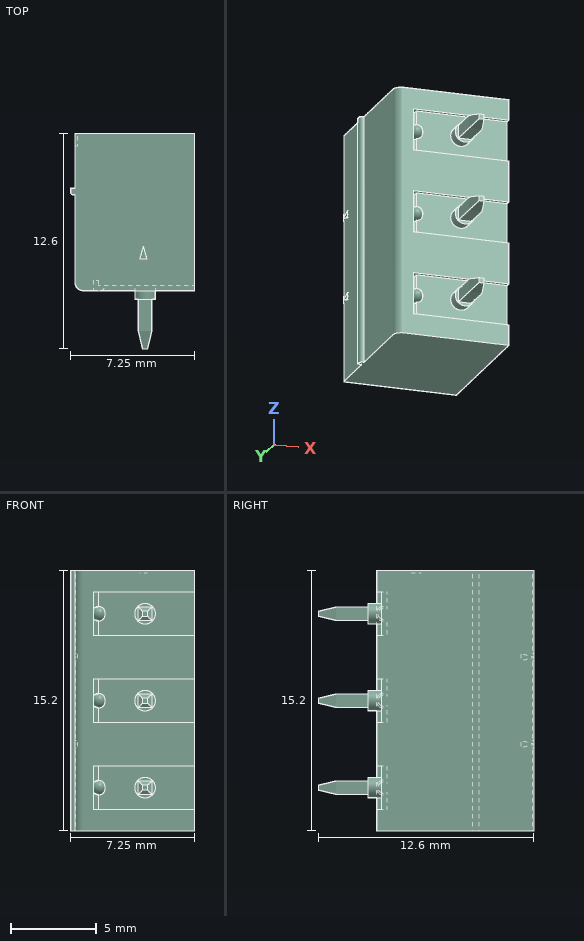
import cadquery as cq

POLES = 3
PITCH = 5.08
POLE_HEIGHTS = [(i - (POLES - 1) / 2) * PITCH for i in range(POLES)]

BODY_WIDTH = 7.0
BODY_DEPTH = 9.2
BODY_HEIGHT = POLES * PITCH
BODY_LEFT = -4.1
BODY_RIGHT = BODY_LEFT + BODY_WIDTH
PIN_SIDE_RADIUS = 0.5
BACK_CHAMFER_WIDTH = 0.05
BACK_CHAMFER_LENGTH = 0.1

RIB_HEIGHT = 0.25
RIB_WIDTH = 0.4
RIB_BACK = BODY_DEPTH - 3.2
RIB_FRONT = RIB_BACK - RIB_WIDTH
RIB_RADIUS = 0.17

POCKET_HEIGHT = 2.54
POCKET_DEPTH = 0.3
POCKET_LEFT = BODY_LEFT + 1.1
GROOVE_WIDTH = 0.28
GROOVE_DEPTH = 2 * POCKET_DEPTH

BUMP_AXIS_DEPTH = 0.42
BUMP_BASE_RADIUS = 0.33
BUMP_SHOULDER_RADIUS = 0.41
BUMP_CREST_RADIUS = 0.44
BUMP_SHOULDER = 0.16
BUMP_CREST = 0.28
BUMP_LENGTH = 0.65

COLLAR_DIAMETER = 1.2
COLLAR_PROJECTION = 0.5
PIN_SIZE = 0.8
PIN_LENGTH = 3.4
TIP_SIZE = 0.3
TIP_LENGTH = 1.05

MARK_LENGTH = 0.75
MARK_WIDTH = 0.42
MARK_DEPTH = 0.15
TOP_MARK_X = -0.1
TOP_MARK_BASE_Y = 1.85
SIDE_MARK_HEIGHTS = [(i - POLES / 2) * PITCH for i in range(1, POLES)]


def box(x_range, y_range, z_range):
    """Block spanning the given (low, high) ranges."""
    lows, highs = zip(x_range, y_range, z_range)
    size = [high - low for low, high in zip(lows, highs)]
    return cq.Workplane("XY").box(*size, centered=False).translate(lows)


def centered_range(middle, size):
    return (middle - size / 2, middle + size / 2)


def make_back_chamfer():
    """Wedge removed from the -X, +Y corner of the housing."""
    corner = [
        (BODY_LEFT, BODY_DEPTH),
        (BODY_LEFT + BACK_CHAMFER_WIDTH, BODY_DEPTH),
        (BODY_LEFT, BODY_DEPTH - BACK_CHAMFER_LENGTH),
    ]
    wedge = cq.Workplane("XY", origin=(0, 0, -BODY_HEIGHT / 2)).polyline(corner).close()
    return wedge.extrude(BODY_HEIGHT)


def make_housing():
    body = box(
        (BODY_LEFT, BODY_RIGHT),
        (0, BODY_DEPTH),
        centered_range(0, BODY_HEIGHT),
    )
    body = body.edges("|Z and <X and <Y").fillet(PIN_SIDE_RADIUS)
    return body.cut(make_back_chamfer())


def make_rib():
    rib = box(
        (BODY_LEFT - RIB_HEIGHT, BODY_LEFT),
        (RIB_FRONT, RIB_BACK),
        centered_range(0, BODY_HEIGHT),
    )
    return rib.edges("|Z and <X and <Y").fillet(RIB_RADIUS)


def make_pocket(z):
    """Pocket with a deeper groove along its -X wall."""
    z_range = centered_range(z, POCKET_HEIGHT)
    pocket = box((POCKET_LEFT, BODY_RIGHT), (0, POCKET_DEPTH), z_range)
    groove = box((POCKET_LEFT, POCKET_LEFT + GROOVE_WIDTH), (0, GROOVE_DEPTH), z_range)
    return pocket.union(groove)


def make_bump(z):
    """Short cone widening from the wall, closed by a rounded end."""
    half_profile = (
        cq.Workplane("XY")
        .lineTo(0, BUMP_BASE_RADIUS)
        .lineTo(BUMP_SHOULDER, BUMP_SHOULDER_RADIUS)
        .threePointArc((BUMP_CREST, BUMP_CREST_RADIUS), (BUMP_LENGTH, 0))
        .close()
    )
    bump = half_profile.revolve(360, (0, 0), (1, 0))
    return bump.translate((POCKET_LEFT, BUMP_AXIS_DEPTH, z))


def make_pin(z):
    """Round collar from the pocket floor, square shank and tapered tip."""
    collar = (
        cq.Workplane("XZ", origin=(0, POCKET_DEPTH, z))
        .circle(COLLAR_DIAMETER / 2)
        .extrude(POCKET_DEPTH + COLLAR_PROJECTION)
    )
    shank = (
        cq.Workplane("XZ", origin=(0, 0, z))
        .rect(PIN_SIZE, PIN_SIZE)
        .extrude(PIN_LENGTH - TIP_LENGTH)
    )
    tip = (
        cq.Workplane("XZ", origin=(0, TIP_LENGTH - PIN_LENGTH, z))
        .rect(PIN_SIZE, PIN_SIZE)
        .workplane(offset=TIP_LENGTH)
        .rect(TIP_SIZE, TIP_SIZE)
        .loft(ruled=True)
    )
    return collar.union(shank).union(tip)


def make_mark():
    """Triangular prism below the XY plane, its apex toward +Y."""
    outline = [(-MARK_WIDTH / 2, 0), (MARK_WIDTH / 2, 0), (0, MARK_LENGTH)]
    return cq.Workplane("XY").polyline(outline).close().extrude(-MARK_DEPTH)


def make_side_mark(z):
    """Mark turned onto the -X face, its apex on the back edge."""
    mark = make_mark().rotate((0, 0, 0), (0, 1, 0), -90)
    return mark.translate((BODY_LEFT, BODY_DEPTH - MARK_LENGTH, z))


def make_edge_fill(z):
    """Block that keeps the back edge sharp beside a side mark."""
    return box(
        (BODY_LEFT, BODY_LEFT + BACK_CHAMFER_WIDTH),
        (BODY_DEPTH - BACK_CHAMFER_LENGTH, BODY_DEPTH),
        centered_range(z, MARK_WIDTH),
    )


result = make_housing().union(make_rib())

for pole_z in POLE_HEIGHTS:
    result = result.cut(make_pocket(pole_z))
    result = result.union(make_bump(pole_z))
    result = result.union(make_pin(pole_z))

for mark_z in SIDE_MARK_HEIGHTS:
    result = result.union(make_edge_fill(mark_z))
    result = result.cut(make_side_mark(mark_z))

result = result.cut(make_mark().translate((TOP_MARK_X, TOP_MARK_BASE_Y, BODY_HEIGHT / 2)))